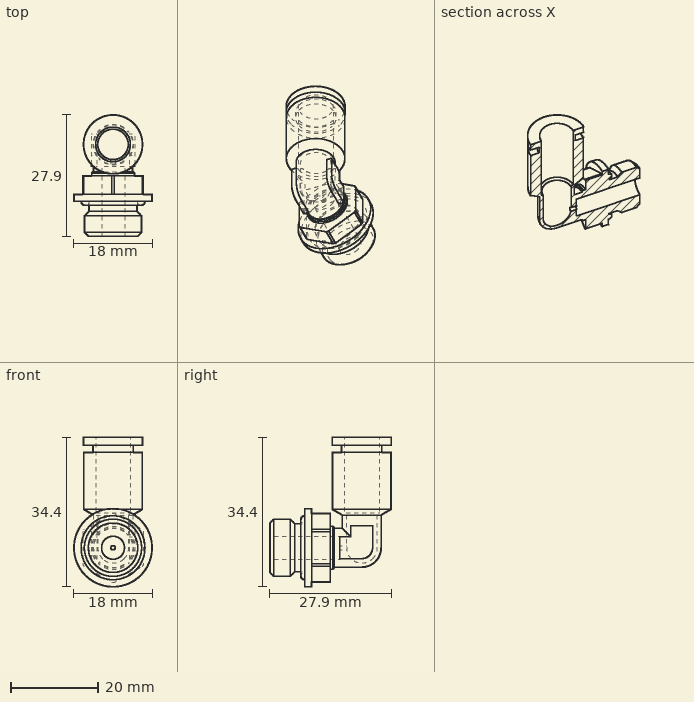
import cadquery as cq
import math


ELBOW_D = 9.0
PAD_WIDTH = 9.9
PAD_HALF = 2.5
PAD_REACH = 2 * PAD_HALF

SOCKET_D = 13.5
RELEASE_RING_D = 13.6
RELEASE_NECK_D = 9.3
SOCKET_TOP_Z = 25.4
RELEASE_RING_THICKNESS = 1.9
RELEASE_GAP = 1.6
SOCKET_BASE_Z = 7.5
SOCKET_CONE_ANGLE = 30.0

COLLAR_D = 9.9
COLLAR_START = 6.3
COLLAR_CHAMFER = 0.3
HEX_START = 7.2
HEX_ACROSS_FLATS = 14.0
HEX_CORNER_CHAMFER = 0.335
FLANGE_D = 18.0
FLANGE_START = 11.5
FLANGE_END = 13.1
RELIEF_D = 11.1
RELIEF_END = 15.4
THREAD_D = 13.16
THREAD_CHAMFER = 0.9
STUD_END = 21.1
SEAL_SECTION_R = 0.9

TUBE_BORE_D = 8.0
INNER_BORE_D = 7.0
STUD_BORE_D = 5.3
STUD_BORE_FLOOR = 5.0
ORIFICE_D = 1.0


def stud_cylinder(diameter, start, end):
    """Cylinder on the stud axis between two distances along -Y."""
    plane = cq.Workplane("XZ", origin=(0, -start, 0))
    return plane.circle(diameter / 2).extrude(end - start)


def make_elbow():
    radius = ELBOW_D / 2
    upright = cq.Workplane("XY").circle(radius).extrude(SOCKET_BASE_Z)
    arm = stud_cylinder(ELBOW_D, 0, HEX_START)
    corner = cq.Workplane("XY").sphere(radius)
    return upright.union(arm).union(corner)


def make_pads():
    arc_mid = PAD_HALF * math.sqrt(0.5)
    return (
        cq.Workplane("YZ")
        .moveTo(PAD_HALF, 0)
        .lineTo(PAD_HALF, PAD_REACH)
        .lineTo(-PAD_HALF, PAD_REACH)
        .lineTo(-PAD_HALF, PAD_HALF)
        .lineTo(-PAD_REACH, PAD_HALF)
        .lineTo(-PAD_REACH, -PAD_HALF)
        .lineTo(0, -PAD_HALF)
        .threePointArc((arc_mid, -arc_mid), (PAD_HALF, 0))
        .close()
        .extrude(PAD_WIDTH / 2, both=True)
    )


def make_socket():
    cone_height = (SOCKET_D - ELBOW_D) / 2 * math.tan(math.radians(SOCKET_CONE_ANGLE))
    ring_bottom_z = SOCKET_TOP_Z - RELEASE_RING_THICKNESS
    body_top_z = ring_bottom_z - RELEASE_GAP
    profile = [
        (0, SOCKET_BASE_Z),
        (ELBOW_D / 2, SOCKET_BASE_Z),
        (SOCKET_D / 2, SOCKET_BASE_Z + cone_height),
        (SOCKET_D / 2, body_top_z),
        (RELEASE_NECK_D / 2, body_top_z),
        (RELEASE_NECK_D / 2, ring_bottom_z),
        (RELEASE_RING_D / 2, ring_bottom_z),
        (RELEASE_RING_D / 2, SOCKET_TOP_Z),
        (0, SOCKET_TOP_Z),
    ]
    return cq.Workplane("XZ").polyline(profile).close().revolve(360, (0, 0, 0), (0, 1, 0))


def make_hex():
    across_corners = HEX_ACROSS_FLATS / math.cos(math.radians(30))
    return (
        cq.Workplane("XZ", origin=(0, -HEX_START, 0))
        .transformed(rotate=(0, 0, 90))
        .polygon(6, across_corners)
        .extrude(FLANGE_START - HEX_START)
        .edges("|Y")
        .chamfer(HEX_CORNER_CHAMFER)
    )


def make_seal():
    ring_radius = RELIEF_D / 2 + SEAL_SECTION_R
    return (
        cq.Workplane("XY")
        .center(ring_radius, -FLANGE_END)
        .circle(SEAL_SECTION_R)
        .revolve(360, (-ring_radius, 0, 0), (-ring_radius, 1, 0))
    )


def make_stud():
    collar = stud_cylinder(COLLAR_D, COLLAR_START, HEX_START).faces(">Y").chamfer(COLLAR_CHAMFER)
    flange = stud_cylinder(FLANGE_D, FLANGE_START, FLANGE_END)
    relief = stud_cylinder(RELIEF_D, FLANGE_END, RELIEF_END)
    runout_end = RELIEF_END + (THREAD_D - RELIEF_D) / 2
    runout_profile = [
        (0, -RELIEF_END),
        (RELIEF_D / 2, -RELIEF_END),
        (THREAD_D / 2, -runout_end),
        (0, -runout_end),
    ]
    runout = cq.Workplane("XY").polyline(runout_profile).close().revolve(360, (0, 0, 0), (0, 1, 0))
    thread = stud_cylinder(THREAD_D, runout_end, STUD_END).faces("<Y").chamfer(THREAD_CHAMFER)
    stud = collar.union(make_hex())
    for section in (flange, relief, runout, thread, make_seal()):
        stud = stud.union(section)
    return stud


def make_tube_passage():
    inner_radius = INNER_BORE_D / 2
    tube_radius = TUBE_BORE_D / 2
    seat_top_z = SOCKET_BASE_Z + tube_radius - inner_radius
    arc_mid = inner_radius * math.sqrt(0.5)
    return (
        cq.Workplane("XZ")
        .moveTo(0, -inner_radius)
        .threePointArc((arc_mid, -arc_mid), (inner_radius, 0))
        .lineTo(inner_radius, SOCKET_BASE_Z)
        .lineTo(tube_radius, seat_top_z)
        .lineTo(tube_radius, SOCKET_TOP_Z)
        .lineTo(0, SOCKET_TOP_Z)
        .close()
        .revolve(360, (0, 0, 0), (0, 1, 0))
    )


def make_stud_passage():
    bore = stud_cylinder(STUD_BORE_D, STUD_BORE_FLOOR, STUD_END)
    orifice = stud_cylinder(ORIFICE_D, 0, STUD_BORE_FLOOR)
    return bore.union(orifice)


body = make_elbow().union(make_pads()).union(make_socket()).union(make_stud())
result = body.cut(make_tube_passage()).cut(make_stud_passage())